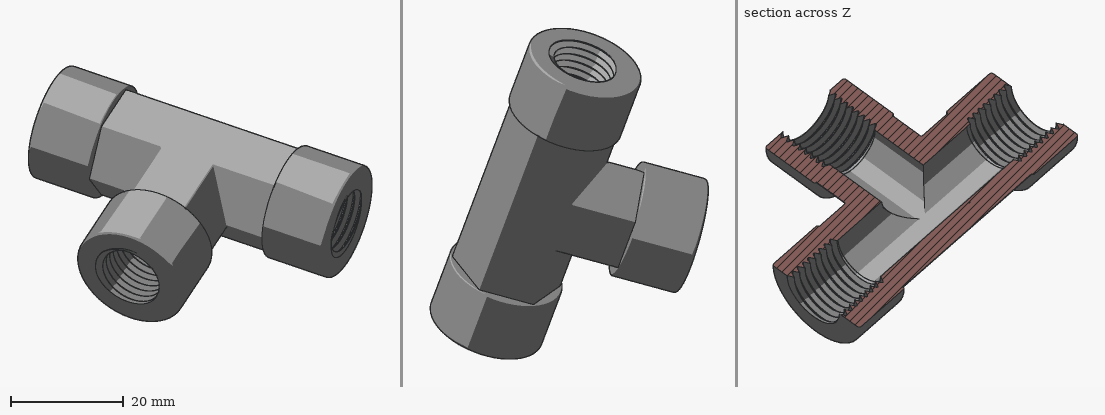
import cadquery as cq
import math

run_length = 58.0
branch_length = 29.0
collar_diameter = 21.0
collar_length = 12.0
collar_face_radius = 0.5
collar_back_radius = 0.3

hex_across_flats = 17.5
hex_edge_radius = 0.35
end_margin = 0.05

bore_diameter = 10.95
thread_minor_diameter = 11.35
thread_major_diameter = 13.65
thread_pitch = 1.4
thread_turns = 8
thread_taper = 1 / 64
crest_flat = 0.05
root_flat = 0.25
groove_overlap = 0.2
groove_start_angle = 190

run_reach = run_length / 2 - collar_length
branch_reach = branch_length - collar_length

ports = [
    (0, branch_length),
    (90, run_length / 2),
    (-90, run_length / 2),
]


def hex_bar(start, end):
    """Hexagonal bar along X with flats at the top and bottom."""
    across_corners = hex_across_flats / math.cos(math.radians(30))
    profile = cq.Workplane("YZ", origin=(start, 0, 0)).polygon(6, across_corners)
    return profile.extrude(end - start)


def hex_body():
    """Mitred tee of hexagonal bars with long edges and mitres rounded, bored along both axes."""
    run = hex_bar(-run_reach, run_reach)
    branch = hex_bar(0, branch_reach).rotate((0, 0, 0), (0, 0, 1), -90)
    inside_the_ends = cq.selectors.BoxSelector(
        (-run_reach + end_margin, -branch_reach + end_margin, -hex_across_flats),
        (run_reach - end_margin, hex_across_flats, hex_across_flats),
    )
    body = run.union(branch).edges(inside_the_ends).fillet(hex_edge_radius)

    bore_radius = bore_diameter / 2
    run_bore = cq.Workplane("YZ", origin=(-run_reach, 0, 0)).circle(bore_radius).extrude(2 * run_reach)
    branch_bore = cq.Workplane("XZ").circle(bore_radius).extrude(branch_reach)
    return body.cut(run_bore).cut(branch_bore)


def tapered_bore():
    """Cone through the collar at the thread's minor diameter."""
    face_radius = thread_minor_diameter / 2
    back_radius = face_radius - thread_taper * collar_length
    profile = [(0, 0), (face_radius, 0), (back_radius, collar_length), (0, collar_length)]
    return cq.Workplane("XZ").polyline(profile).close().revolve(360, (0, 0, 0), (0, 1, 0))


def thread_groove():
    """V groove on a tapered right-hand helix, starting one pitch outside the collar face."""
    start = -thread_pitch
    minor = thread_minor_diameter / 2 - thread_taper * start
    major = thread_major_diameter / 2 - thread_taper * start
    half_mouth = (thread_pitch - crest_flat) / 2
    half_root = root_flat / 2
    helix = cq.Wire.makeHelix(
        pitch=thread_pitch,
        height=thread_turns * thread_pitch - start,
        radius=minor,
        center=cq.Vector(0, 0, start),
        angle=-math.degrees(math.atan(thread_taper)),
    )
    profile = [
        (minor - groove_overlap, start - half_mouth),
        (minor, start - half_mouth),
        (major, start - half_root),
        (major, start + half_root),
        (minor, start + half_mouth),
        (minor - groove_overlap, start + half_mouth),
    ]
    groove = cq.Workplane("XZ").polyline(profile).close().sweep(cq.Workplane(helix), isFrenet=True)
    return groove.rotate((0, 0, 0), (0, 0, 1), groove_start_angle)


def threaded_collar():
    """Round collar with its open face at Z = 0 and its back at +Z."""
    collar = cq.Workplane("XY").circle(collar_diameter / 2).extrude(collar_length)
    collar = collar.faces("<Z").edges().fillet(collar_face_radius)
    collar = collar.faces(">Z").edges().fillet(collar_back_radius)
    return collar.cut(tapered_bore()).cut(thread_groove())


collar = threaded_collar().rotate((0, 0, 0), (1, 0, 0), -90)
tee = hex_body()
for turn, reach in ports:
    tee = tee.union(collar.translate((0, -reach, 0)).rotate((0, 0, 0), (0, 0, 1), turn))

result = cq.Workplane(tee.solids().val())